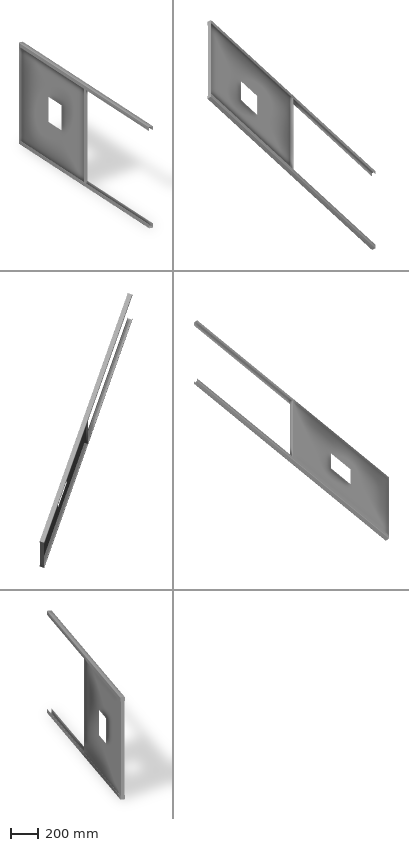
import cadquery as cq

rail_length = 2000.0
rail_depth = 35.0
rail_flange = 32.0
sheet = 1.5
outer_bend = 5.0
panel_length = 1000.0
overall_height = 805.0
panel_depth = 30.0
window_size = 200.0

inner_bend = outer_bend - sheet
groove_width = rail_depth - 2 * sheet
panel_height = overall_height - 2 * sheet
panel_front_y = -groove_width / 2


def make_panel():
    """Tray of folded sheet, open toward -Y, with a central square window."""
    body = cq.Workplane("XY").box(panel_length, panel_depth, panel_height)
    pocket = cq.Workplane("XY").box(
        panel_length - 2 * sheet, panel_depth, panel_height - 2 * sheet
    ).translate((0, -sheet, 0))
    window = cq.Workplane("XY").box(window_size, 2 * panel_depth, window_size)
    tray = body.cut(pocket).cut(window)
    return tray.translate((panel_length / 2, panel_front_y + panel_depth / 2, 0))


def make_rail(side):
    """U-channel along X; side is 1 for the upper rail, -1 for the lower one."""
    web_edges = "|X and >Z" if side > 0 else "|X and <Z"
    outer = cq.Workplane("XY").box(rail_length, rail_depth, rail_flange)
    outer = outer.edges(web_edges).fillet(outer_bend)
    groove = cq.Workplane("XY").box(rail_length, groove_width, rail_flange)
    groove = groove.edges(web_edges).fillet(inner_bend)
    channel = outer.cut(groove.translate((0, 0, -side * sheet)))
    center_z = side * (overall_height - rail_flange) / 2
    return channel.translate((rail_length / 2, 0, center_z))


panel = make_panel()
rails = [make_rail(side) for side in (1, -1)]

result = cq.Compound.makeCompound([panel.val(), *[rail.val() for rail in rails]])